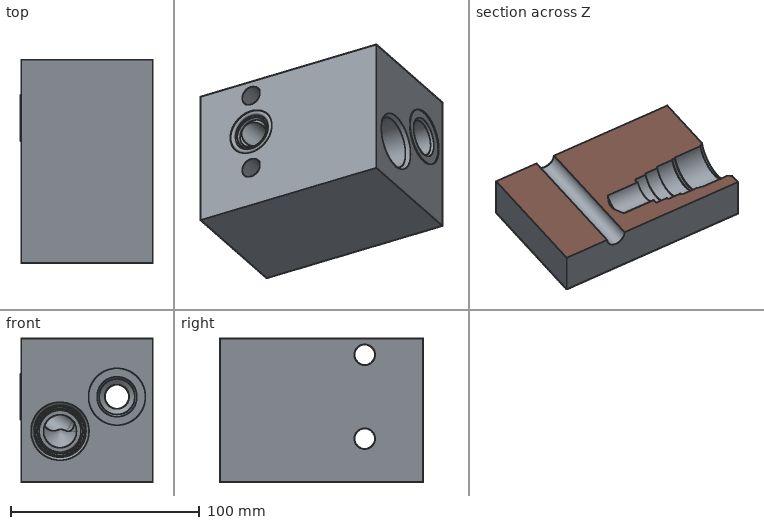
import cadquery as cq
import math

block_x = 69.85
block_y = 107.95
block_z = 76.2

cavity_x = 20.65
cavity_z = 27.0
through_port_x = 50.85
side_port_y = 76.9
upper_z = 45.3

drill_half_angle = math.radians(59)

ring_section_radius = 1.31
ring_middle_radius = 11.46
ring_proud = 0.46
ring_outer_radius = ring_middle_radius + ring_section_radius
groove_depth = 2 * ring_section_radius - ring_proud
ring_center_depth = groove_depth - ring_section_radius

lip_outer_radius = 10.1
lip_inner_radius = 9.0
lip_depth = 0.5
side_floor_radius = 8.0
side_floor_depth = 2.1

mount_radius = 5.4
mount_offset = 22.25

spotface_radius = 15.1
spotface_depth = 0.5
lead_radius = 10.6
lead_depth = 1.8
port_radius = 9.45
port_depth = 19.0
drilling_radius = 6.35

cavity_mouth_radius = 15.4
cavity_mouth_chamfer = 2.15
cavity_bores = [(13.8, 18.1), (13.4, 20.0), (13.0, 30.0), (12.0, 38.0), (11.1, 45.0)]
bore_cone_length = 0.5
pilot_radius = 8.75
pilot_depth = 63.85

passage_radius = 6.35
passage_start_x = -3.7
passage_center_x = 0.97
passage_length = 36.6
passage_tilt = math.radians(45)


def turned(outline):
    """Revolve a closed outline of (radius, depth) about the Y axis."""
    return outline.close().revolve(360, (0, 0, 0), (0, 1, 0))


def make_cavity():
    points = [(0, 0), (cavity_mouth_radius, 0)]
    start = cavity_mouth_chamfer
    for radius, end in cavity_bores:
        points += [(radius, start), (radius, end)]
        start = end + bore_cone_length
    last_depth = cavity_bores[-1][1]
    tip_depth = pilot_depth + pilot_radius / math.tan(drill_half_angle)
    points += [(pilot_radius, last_depth), (pilot_radius, pilot_depth), (0, tip_depth)]
    return turned(cq.Workplane("XY").polyline(points)).translate((cavity_x, 0, cavity_z))


def make_through_port():
    point_end = port_depth + (port_radius - drilling_radius) / math.tan(drill_half_angle)
    points = [
        (0, 0),
        (spotface_radius, 0),
        (spotface_radius, spotface_depth),
        (lead_radius, spotface_depth),
        (port_radius, lead_depth),
        (port_radius, port_depth),
        (drilling_radius, point_end),
        (drilling_radius, block_y),
        (0, block_y),
    ]
    return turned(cq.Workplane("XY").polyline(points)).translate((through_port_x, 0, upper_z))


def make_side_port():
    lip_round = (lip_outer_radius - lip_inner_radius) / 2
    lip_middle_radius = lip_inner_radius + lip_round
    lip_base_depth = lip_depth + lip_round
    outline = (
        cq.Workplane("XY")
        .moveTo(0, 0)
        .lineTo(ring_outer_radius, 0)
        .lineTo(ring_outer_radius, groove_depth)
        .lineTo(lip_outer_radius, groove_depth)
        .lineTo(lip_outer_radius, lip_base_depth)
        .threePointArc((lip_middle_radius, lip_depth), (lip_inner_radius, lip_base_depth))
        .lineTo(side_floor_radius, side_floor_depth)
        .lineTo(0, side_floor_depth)
    )
    return turned(outline).rotate((0, 0, 0), (0, 0, 1), -90).translate((0, side_port_y, upper_z))


def make_passage():
    lean = math.sin(passage_tilt) / math.sqrt(2)
    direction = cq.Vector(math.cos(passage_tilt), -lean, -lean)
    center = cq.Vector(passage_center_x, side_port_y, upper_z)
    start = center + direction * ((passage_start_x - passage_center_x) / direction.x)
    end = start + direction * passage_length
    bore = cq.Solid.makeCylinder(passage_radius, passage_length, start, direction)
    ball = cq.Workplane("XY").sphere(passage_radius).translate(end)
    return cq.Workplane(obj=bore).union(ball)


def make_mounting_holes():
    return (
        cq.Workplane("YZ")
        .pushPoints([(side_port_y, upper_z - mount_offset), (side_port_y, upper_z + mount_offset)])
        .circle(mount_radius)
        .extrude(block_x)
    )


def make_block():
    block = cq.Workplane("XY").box(block_x, block_y, block_z, centered=False)
    for cutter in (
        make_cavity(),
        make_through_port(),
        make_side_port(),
        make_passage(),
        make_mounting_holes(),
    ):
        block = block.cut(cutter)
    return block


def make_seal_ring():
    center = cq.Vector(ring_center_depth, side_port_y, upper_z)
    torus = cq.Solid.makeTorus(ring_middle_radius, ring_section_radius, center, cq.Vector(1, 0, 0))
    return cq.Workplane(obj=torus)


block = make_block()
seal_ring = make_seal_ring()

result = cq.Compound.makeCompound([block.val(), seal_ring.val()])